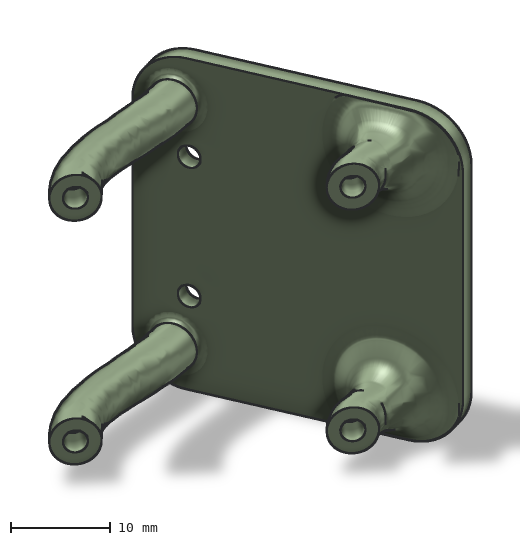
import cadquery as cq
import math

PLATE_WIDTH = 36.7
PLATE_HEIGHT = 38.0
PLATE_THICKNESS = 2.0
PLATE_CORNER_RADIUS = 6.0

SCREW_HOLE_DIAMETER = 2.5
SCREW_HOLE_X = -12.05
SCREW_HOLE_PITCH = 16.0
SCREW_HOLE_MID_Z = -0.23

POST_RADIUS = 2.64
POST_PITCH_Z = 27.95
POST_MID_Z = -0.08
TIP_TILT = math.radians(30)
BORE_DIAMETER = 2.5
BORE_DEPTH = 4.0
POST_SECTIONS = 9

LONG_BASE_X = -13.53
LONG_TIP_X = -14.02
OVERALL_DEPTH = 25.88
LONG_TIP_Y = POST_RADIUS * math.sin(TIP_TILT) - OVERALL_DEPTH
LONG_BASE_PULL = 25.8
LONG_TIP_PULL = 24.5
LONG_FLARE_RADIUS = 1.0

SHORT_BASE_X = 10.35
SHORT_TIP_X = 10.2
SHORT_TIP_Y = -10.6
SHORT_BASE_PULL = 17.1
SHORT_TIP_PULL = 8.75
SHORT_FLARE_RADIUS = 5.0

FLARE_LEVELS = 8
FLARE_POINTS = 48
FLARE_ROOT = 0.38
FLARE_INSET = 0.08
SEARCH_STEPS = 40

FRONT_FACE_Y = -PLATE_THICKNESS
TIP_NORMAL = cq.Vector(math.sin(TIP_TILT), -math.cos(TIP_TILT), 0)
TIP_ACROSS = cq.Vector(math.cos(TIP_TILT), math.sin(TIP_TILT), 0)
BASE_NORMAL = cq.Vector(0, -1, 0)
BASE_ACROSS = cq.Vector(1, 0, 0)
UP = cq.Vector(0, 0, 1)


def plate_block(y_start, depth):
    """Rounded rectangle of the plate outline, extruded from y_start toward -Y."""
    block = cq.Workplane("XZ", origin=(0, y_start, 0)).rect(PLATE_WIDTH, PLATE_HEIGHT).extrude(depth)
    return block.edges("|Y").fillet(PLATE_CORNER_RADIUS)


def screw_holes():
    places = [(SCREW_HOLE_X, SCREW_HOLE_MID_Z + side * SCREW_HOLE_PITCH / 2) for side in (-1, 1)]
    return cq.Workplane("XZ").pushPoints(places).circle(SCREW_HOLE_DIAMETER / 2).extrude(PLATE_THICKNESS)


def post_section(t, base, tip, base_pull, tip_pull):
    """Centre and cross vector at t (0 base, 1 tip) of a post that leaves both end faces squarely."""
    tip_share = t * t * (3 - 2 * t)
    base_share = 1 - tip_share
    centre = (
        base * base_share
        + tip * tip_share
        + BASE_NORMAL * (base_pull * t * (1 - t) ** 2)
        - TIP_NORMAL * (tip_pull * t * t * (1 - t))
    )
    across = BASE_ACROSS * base_share + TIP_ACROSS * tip_share
    return centre, across


def post(base, tip, base_pull, tip_pull):
    wires = []
    for i in range(POST_SECTIONS):
        t = i / (POST_SECTIONS - 1)
        centre, across = post_section(t, base, tip, base_pull, tip_pull)
        plane = cq.Plane(centre, xDir=UP, normal=UP.cross(across) * -1)
        section = cq.Workplane(plane).ellipse(POST_RADIUS, POST_RADIUS * across.Length)
        wires.append(section.wire().val())
    return cq.Workplane(cq.Solid.makeLoft(wires))


def bore(tip):
    """Straight blind hole, square to the tilted tip face."""
    return cq.Workplane(cq.Solid.makeCylinder(BORE_DIAMETER / 2, BORE_DEPTH, tip, TIP_NORMAL * -1))


def inside_plate(x, z):
    over_x = max(abs(x) - (PLATE_WIDTH / 2 - PLATE_CORNER_RADIUS), 0)
    over_z = max(abs(z) - (PLATE_HEIGHT / 2 - PLATE_CORNER_RADIUS), 0)
    return math.hypot(over_x, over_z) <= PLATE_CORNER_RADIUS


def flare_reach(base, angle, limit):
    """Distance from the post centre to the flare rim: the limit, or the plate edge if nearer."""
    def fits(reach):
        return inside_plate(base.x + reach * math.cos(angle), base.z + reach * math.sin(angle))

    if fits(limit):
        return limit
    low, high = 0.0, limit
    for _ in range(SEARCH_STEPS):
        middle = (low + high) / 2
        if fits(middle):
            low = middle
        else:
            high = middle
    return low


def post_at_height(height, base, tip, base_pull, tip_pull):
    """Centre x and half width along X of the post, cut parallel to the plate at a height above it."""
    def edge_x(side):
        low, high = 0.0, 1.0
        for _ in range(SEARCH_STEPS):
            t = (low + high) / 2
            centre, across = post_section(t, base, tip, base_pull, tip_pull)
            edge = centre + across * (side * POST_RADIUS)
            if FRONT_FACE_Y - edge.y < height:
                low = t
            else:
                high = t
        return edge.x

    left, right = edge_x(-1), edge_x(1)
    return (left + right) / 2, (right - left) / 2


def flare_outline(height, level, radius, *post_shape):
    """Outline of the flare at a height above the plate, placed at the given level above it."""
    base = post_shape[0]
    centre_x, half_width = post_at_height(height, *post_shape)
    points = []
    for i in range(FLARE_POINTS):
        angle = 2 * math.pi * i / FLARE_POINTS
        spread = flare_reach(base, angle, POST_RADIUS + radius) - POST_RADIUS
        top = math.sqrt(radius**2 - (radius - spread) ** 2)
        gap = radius - math.sqrt(radius**2 - max(top - height, 0) ** 2) - FLARE_INSET
        x = centre_x + (half_width + gap) * math.cos(angle)
        z = base.z + (POST_RADIUS + gap) * math.sin(angle)
        points.append(cq.Vector(x, FRONT_FACE_Y - level, z))
    return cq.Wire.assembleEdges([cq.Edge.makeSpline(points, periodic=True)])


def flare(radius, *post_shape):
    """Loft whose walls are arcs of the given radius, blending into the post and ending at the rim."""
    heights = [
        radius * (1 - math.cos(math.pi / 2 * level / (FLARE_LEVELS - 1)))
        for level in range(FLARE_LEVELS)
    ]
    root = flare_outline(0, -FLARE_ROOT, radius, *post_shape)
    outlines = [flare_outline(height, height, radius, *post_shape) for height in heights]
    return cq.Workplane(cq.Solid.makeLoft([root] + outlines))


body = plate_block(0, PLATE_THICKNESS).cut(screw_holes())
for side in (-1, 1):
    post_z = POST_MID_Z + side * POST_PITCH_Z / 2
    long_tip = cq.Vector(LONG_TIP_X, LONG_TIP_Y, post_z)
    short_tip = cq.Vector(SHORT_TIP_X, SHORT_TIP_Y, post_z)
    long_base = cq.Vector(LONG_BASE_X, FRONT_FACE_Y, post_z)
    short_base = cq.Vector(SHORT_BASE_X, FRONT_FACE_Y, post_z)
    long_post = (long_base, long_tip, LONG_BASE_PULL, LONG_TIP_PULL)
    short_post = (short_base, short_tip, SHORT_BASE_PULL, SHORT_TIP_PULL)

    for radius, shape in ((LONG_FLARE_RADIUS, long_post), (SHORT_FLARE_RADIUS, short_post)):
        body = body.union(post(*shape)).union(flare(radius, *shape)).cut(bore(shape[1]))

result = body.solids()